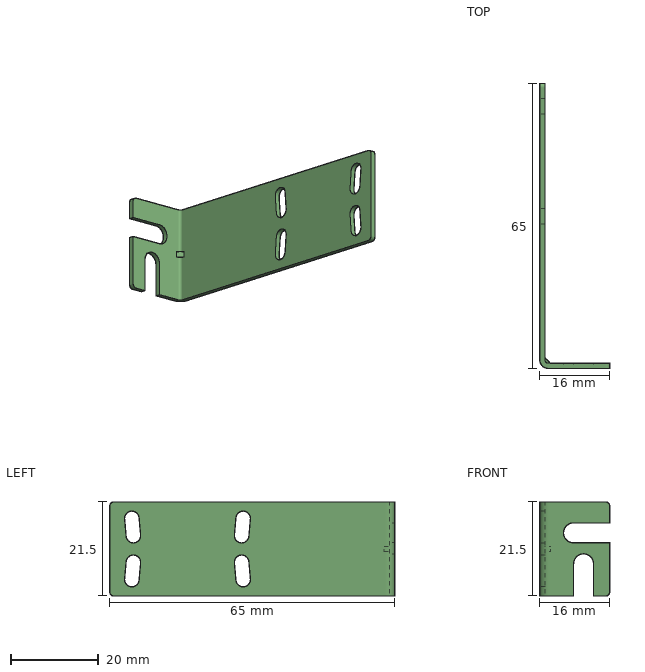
import cadquery as cq

width = 16.0
length = 65.0
height = 21.5
thickness = 1.25
bend_radius = 2.0
inner_bend_radius = 0.65
corner_radius = 1.0

open_slot_width = 4.5
side_slot_end_x = 5.45
side_slot_z = 14.4
bottom_slot_x = 10.0
bottom_slot_top_z = 9.6

slot_length = 7.2
slot_width = 3.25
slot_tilt = 5.0
slot_center_y = 47.25
slot_spacing_y = 25.0
slot_spacing_z = 10.0

web_leg = 1.25


def bent_sheet():
    """L-shaped sheet with a rounded bend along Z."""
    outer = cq.Workplane("XY").rect(width, length, centered=False).extrude(height)
    outer = outer.edges("|Z and <X and <Y").fillet(bend_radius)
    inner = (
        cq.Workplane("XY")
        .move(thickness, thickness)
        .rect(width, length, centered=False)
        .extrude(height)
        .edges("|Z and <X and <Y")
        .fillet(inner_bend_radius)
    )
    return outer.cut(inner)


def round_free_corners(sheet):
    sheet = sheet.faces(">Y").edges("|X").fillet(corner_radius)
    return sheet.faces(">X").edges("|Y").fillet(corner_radius)


def open_slots():
    """Round-ended cutters, one open at the +X edge and one at the bottom."""
    side_length = 2 * (width - side_slot_end_x)
    bottom_length = 2 * bottom_slot_top_z
    side = cq.Workplane("XZ").center(width, side_slot_z).slot2D(side_length, open_slot_width)
    bottom = cq.Workplane("XZ").center(bottom_slot_x, 0).slot2D(bottom_length, open_slot_width, 90)
    return side.extrude(-thickness).union(bottom.extrude(-thickness))


def tilted_slot(side_y, side_z):
    """Slot cutter whose end nearest mid-height leans toward the centre of the group."""
    return (
        cq.Workplane("YZ")
        .center(slot_center_y + side_y * slot_spacing_y / 2, height / 2 + side_z * slot_spacing_z / 2)
        .slot2D(slot_length, slot_width, 90 - side_y * side_z * slot_tilt)
        .extrude(thickness)
    )


def bend_web():
    """Triangular web at mid-height, one sheet thickness tall."""
    bottom_z = (height - thickness) / 2
    return (
        cq.Workplane("XY", origin=(0, 0, bottom_z))
        .moveTo(thickness + web_leg, thickness)
        .lineTo(thickness, thickness + web_leg)
        .lineTo(thickness, thickness)
        .close()
        .extrude(thickness)
    )


result = round_free_corners(bent_sheet()).union(bend_web()).cut(open_slots())
for side_y in (-1, 1):
    for side_z in (-1, 1):
        result = result.cut(tilted_slot(side_y, side_z))